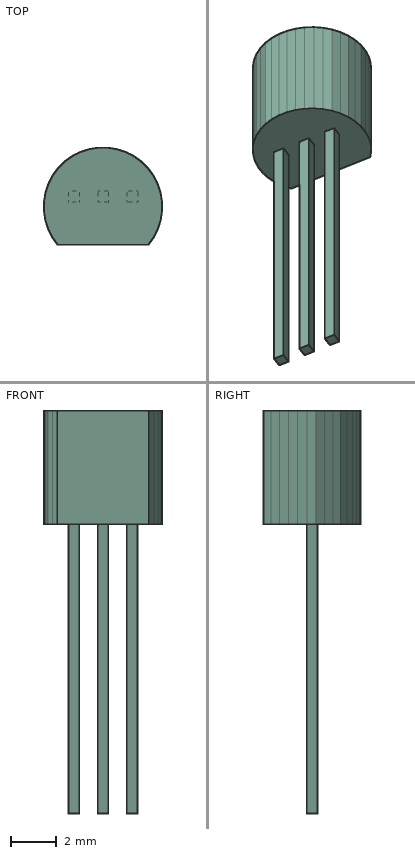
import cadquery as cq
import math

body_radius = 2.605
body_height = 5.0
flat_distance = 1.67
facet_count = 29

lead_width = 0.48
lead_length = 12.7
lead_pitch = 1.28
lead_count = 3
lead_y = (body_radius - flat_distance) / 2


def make_body():
    """Extrude the D-shaped polygon; its last edge, closing the outline, is the flat."""
    flat_end_angle = math.asin(flat_distance / body_radius)
    arc_angle = math.pi + 2 * flat_end_angle
    facet_angle = arc_angle / facet_count
    outline = []
    for corner in range(facet_count + 1):
        angle = corner * facet_angle - flat_end_angle
        outline.append((body_radius * math.cos(angle), body_radius * math.sin(angle)))
    return cq.Workplane("XY").polyline(outline).close().extrude(body_height)


def make_leads():
    """Square straight leads in a row along X, hanging from the underside of the body."""
    return (
        cq.Workplane("XY")
        .center(0, lead_y)
        .rarray(lead_pitch, 1, lead_count, 1)
        .rect(lead_width, lead_width)
        .extrude(-lead_length)
    )


result = make_body().union(make_leads())